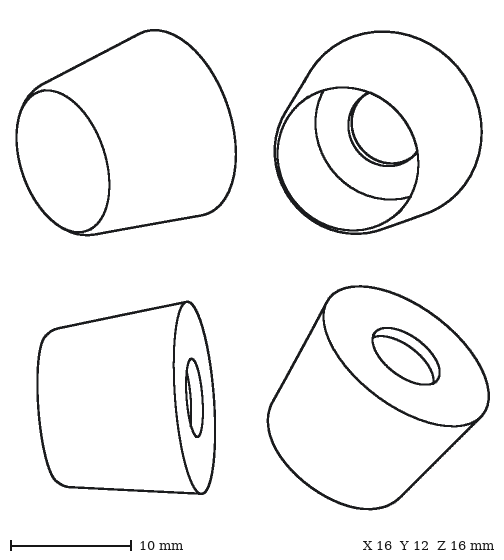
import cadquery as cq

large_radius = 8.0
shoulder_radius = 6.62
bore_radius = 6.1
hole_radius = 3.25
length = 12.0
rim_length = 1.0
floor_thickness = 1.0

mouth_y = -length / 2
back_y = length / 2
shoulder_y = mouth_y + rim_length
floor_y = back_y - floor_thickness

profile = (
    cq.Workplane("XY")
    .moveTo(hole_radius, back_y)
    .lineTo(large_radius, back_y)
    .lineTo(shoulder_radius, shoulder_y)
    .tangentArcPoint((bore_radius, mouth_y), relative=False)
    .lineTo(bore_radius, floor_y)
    .lineTo(hole_radius, floor_y)
    .close()
)

result = profile.revolve(360, (0, 0, 0), (0, 1, 0))